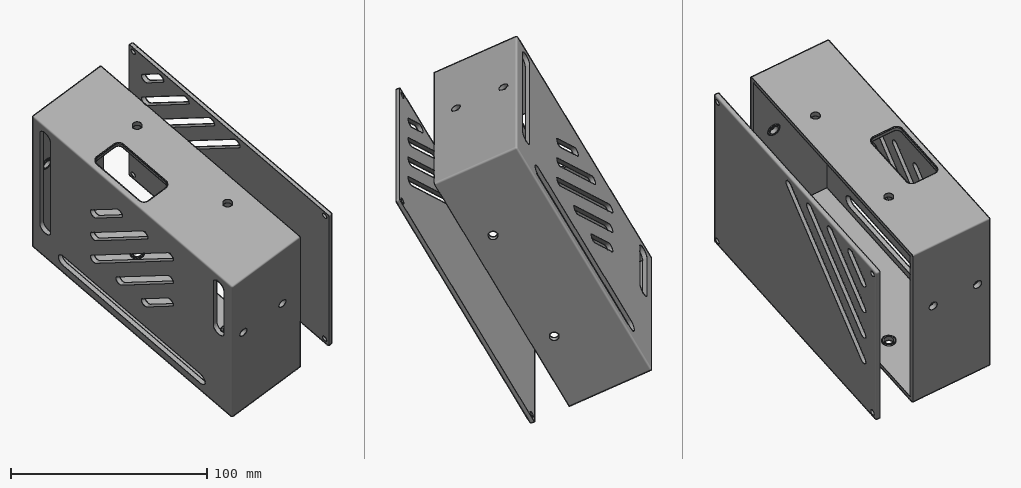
import cadquery as cq
import math

WIDTH = 150.0
HEIGHT = 110.0
EDGE_FILLET = 1.0

HOUSING_DEPTH = 47.5
WALL = 2.5

LID_THICKNESS = 2.5
LID_GAP = 20.0
LID_FRONT_Y = HOUSING_DEPTH + LID_GAP

SLOT_WIDTH = 8.0
SLOT_EDGE_DISTANCE = 10.0
LEFT_SLOT_LENGTH = 84.2
RIGHT_SLOT_LENGTH = 44.0
SIDE_SLOT_TOP = HEIGHT - 5.0
BOTTOM_SLOT_LENGTH = 110.0
BOTTOM_SLOT_START = 20.0
BOTTOM_SLOT_Z = 10.5

FRONT_VENT_WIDTH = 5.0
LID_VENT_WIDTH = 5.1
VENT_PITCH = 19.0
FRONT_VENT_STEPS = 3
FRONT_VENT_CENTER_Z = HEIGHT / 2 + 7.5
LID_VENT_COUNT = 4
LID_VENT_LEFT = 12.0
LID_VENT_TOP = 104.0
LID_SHORTEST_VENT = 11.5

HOLE_DIAMETER = 5.0
BOSS_BASE_DIAMETER = 7.5
BOSS_TOP_DIAMETER = 6.6
BOSS_HEIGHT = 0.5
HOLE_BACK_Y = HOUSING_DEPTH - 12.5
HOLE_FRONT_Y = 8.0
VERTICAL_HOLE_OFFSET = 33.9
SIDE_HOLE_Z = HEIGHT / 2 + 10.0
SCREW_HOLE_DIAMETER = 3.2
SCREW_HOLE_INSET = 3.3

OPENING_X = (42.2, 80.0)
OPENING_Y = (3.6, 21.5)
OPENING_RADIUS = 3.0
OPENING_CHAMFER = 0.5


def slot_cutter(start, end, width, y, depth):
    """Round-ended slot between two (x, z) end centers, cut from y towards +Y."""
    dx = end[0] - start[0]
    dz = end[1] - start[1]
    length = math.hypot(dx, dz) + width
    return (
        cq.Workplane("XZ", origin=((start[0] + end[0]) / 2, y + depth, (start[1] + end[1]) / 2))
        .slot2D(length, width, math.degrees(math.atan2(dz, dx)))
        .extrude(depth)
    )


def rounded_plate(y, depth, outer_face):
    """Full-size block whose outer face and Y-parallel edges are rounded."""
    return (
        cq.Workplane("XY")
        .box(WIDTH, depth, HEIGHT, centered=False)
        .translate((0, y, 0))
        .edges("|Y or " + outer_face)
        .fillet(EDGE_FILLET)
    )


def add_hole(body, outer_point, inward):
    """Hole through one wall, ringed by a low conical boss on the inner face of that wall."""
    start = cq.Vector(outer_point)
    direction = cq.Vector(inward)
    boss = cq.Solid.makeCone(
        BOSS_BASE_DIAMETER / 2, BOSS_TOP_DIAMETER / 2, BOSS_HEIGHT, start + direction * WALL, direction
    )
    hole = cq.Solid.makeCylinder(HOLE_DIAMETER / 2, WALL + BOSS_HEIGHT, start, direction)
    return body.union(cq.Workplane(boss)).cut(cq.Workplane(hole))


def opening_cutter():
    """Rounded rectangle through the top wall, widening at a chamfer on the outer face."""
    x0, x1 = OPENING_X
    y0, y1 = OPENING_Y
    plane = cq.Workplane("XY", origin=((x0 + x1) / 2, (y0 + y1) / 2, HEIGHT))
    through = plane.sketch().rect(x1 - x0, y1 - y0).vertices().fillet(OPENING_RADIUS).finalize().extrude(-WALL)
    flare = (
        plane.workplane(offset=-OPENING_CHAMFER)
        .sketch().rect(x1 - x0, y1 - y0).vertices().fillet(OPENING_RADIUS).finalize()
        .extrude(OPENING_CHAMFER, taper=-45)
    )
    return through.union(flare)


def make_housing():
    body = rounded_plate(0, HOUSING_DEPTH, "<Y")
    cavity = cq.Workplane("XY").box(
        WIDTH - 2 * WALL, HOUSING_DEPTH - WALL, HEIGHT - 2 * WALL, centered=False
    ).translate((WALL, WALL, WALL))
    body = body.cut(cavity)

    end_inset = SLOT_WIDTH / 2
    top = SIDE_SLOT_TOP - end_inset
    for x, length in (
        (SLOT_EDGE_DISTANCE, LEFT_SLOT_LENGTH),
        (WIDTH - SLOT_EDGE_DISTANCE, RIGHT_SLOT_LENGTH),
    ):
        bottom = SIDE_SLOT_TOP - length + end_inset
        body = body.cut(slot_cutter((x, bottom), (x, top), SLOT_WIDTH, 0, WALL))
    body = body.cut(slot_cutter(
        (BOTTOM_SLOT_START + end_inset, BOTTOM_SLOT_Z),
        (BOTTOM_SLOT_START + BOTTOM_SLOT_LENGTH - end_inset, BOTTOM_SLOT_Z),
        SLOT_WIDTH, 0, WALL))

    half = FRONT_VENT_STEPS * VENT_PITCH / 2
    for step in range(1 - FRONT_VENT_STEPS, FRONT_VENT_STEPS):
        shift = step * VENT_PITCH / 2
        reach = half - abs(shift)
        x = WIDTH / 2 + shift
        z = FRONT_VENT_CENTER_Z - shift
        body = body.cut(slot_cutter(
            (x - reach, z - reach), (x + reach, z + reach), FRONT_VENT_WIDTH, 0, WALL))

    for side in (-1, 1):
        hole_x = WIDTH / 2 + side * VERTICAL_HOLE_OFFSET
        body = add_hole(body, (hole_x, HOLE_BACK_Y, 0), (0, 0, 1))
        body = add_hole(body, (hole_x, HOLE_BACK_Y, HEIGHT), (0, 0, -1))
    for y in (HOLE_FRONT_Y, HOLE_BACK_Y):
        body = add_hole(body, (0, y, SIDE_HOLE_Z), (1, 0, 0))
        body = add_hole(body, (WIDTH, y, SIDE_HOLE_Z), (-1, 0, 0))

    return body.cut(opening_cutter())


def make_lid():
    body = rounded_plate(LID_FRONT_Y, LID_THICKNESS, ">Y")

    for row in range(LID_VENT_COUNT):
        reach = LID_SHORTEST_VENT + row * VENT_PITCH
        body = body.cut(slot_cutter(
            (LID_VENT_LEFT, LID_VENT_TOP - reach), (LID_VENT_LEFT + reach, LID_VENT_TOP),
            LID_VENT_WIDTH, LID_FRONT_Y, LID_THICKNESS))

    return body.cut(
        cq.Workplane("XZ", origin=(WIDTH / 2, LID_FRONT_Y + LID_THICKNESS, HEIGHT / 2))
        .rect(WIDTH - 2 * SCREW_HOLE_INSET, HEIGHT - 2 * SCREW_HOLE_INSET, forConstruction=True)
        .vertices().circle(SCREW_HOLE_DIAMETER / 2).extrude(LID_THICKNESS))


housing = make_housing()
lid = make_lid()
result = cq.Compound.makeCompound([housing.val(), lid.val()])